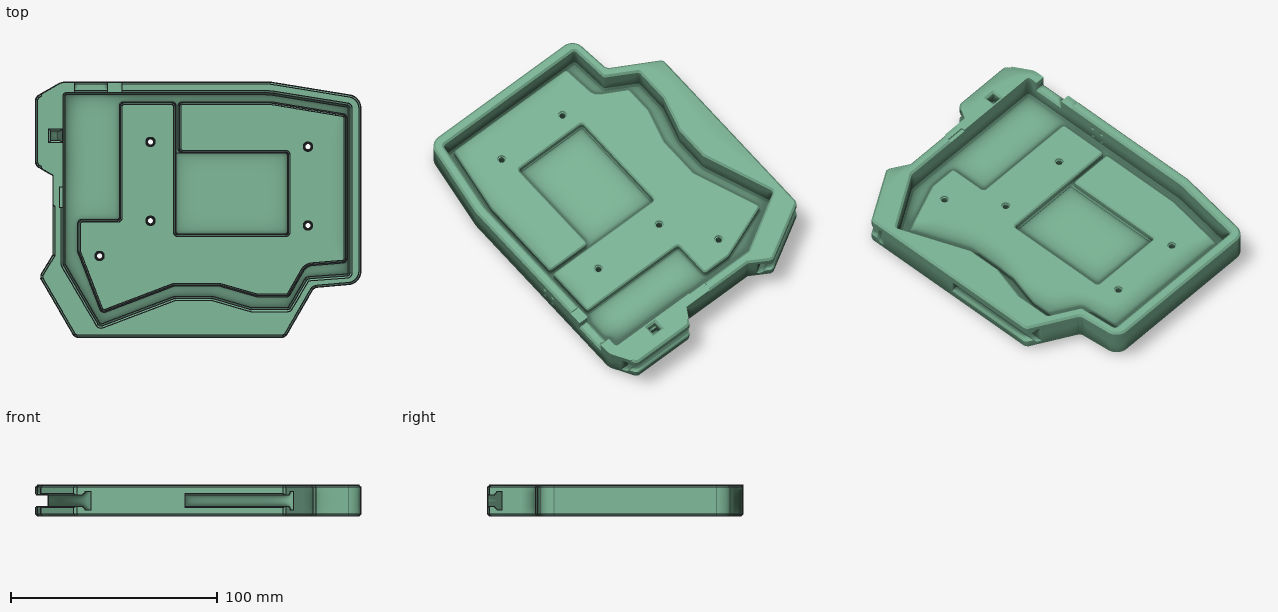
import cadquery as cq
import math

LENGTH = 157.19
DEPTH = 123.32
HEIGHT = 15.0

SLANT = math.tan(math.radians(60))
FRONT_LEFT_X = 18.9
FRONT_RIGHT_X = 120.6
LEFT_CORNER_Y = 29.3
LEFT_CORNER = (FRONT_LEFT_X - LEFT_CORNER_Y / SLANT, LEFT_CORNER_Y)
WAIST_Y = 24.0
WAIST = (FRONT_RIGHT_X + WAIST_Y / SLANT, WAIST_Y)
RIGHT_FRONT_Y = 26.0
RIGHT_BACK_Y = 116.2
BACK_RIGHT_X = 113.5
BACK_LEFT_X = 12.6
GRIP_BACK_Y = DEPTH - BACK_LEFT_X / SLANT
GRIP_FRONT_Y = 83.0
RECESS_X = 8.4
RECESS_BACK_Y = GRIP_FRONT_Y - RECESS_X / SLANT
RECESS_FRONT_Y = 39.8
OUTLINE = [
    (FRONT_LEFT_X, 0),
    (FRONT_RIGHT_X, 0),
    WAIST,
    (LENGTH, RIGHT_FRONT_Y),
    (LENGTH, RIGHT_BACK_Y),
    (BACK_RIGHT_X, DEPTH),
    (BACK_LEFT_X, DEPTH),
    (0, GRIP_BACK_Y),
    (0, GRIP_FRONT_Y),
    (RECESS_X, RECESS_BACK_Y),
    (RECESS_X, RECESS_FRONT_Y),
    LEFT_CORNER,
]
RIGHT_CORNER_RADIUS = 6.5
CORNER_BEVEL = 1.0
RIM_CHAMFER = 1.0

FLOOR_Z = 2.3
CAVITY_CHAMFER = 1.0
CAVITY_CORNER_RADIUS = 1.5
CAVITY_BEND_RADIUS = 28.0
CAVITY_LEFT = 13.3
CAVITY_RIGHT = 151.9
CAVITY_BACK = 118.2
CAVITY_OUTLINE = [
    (CAVITY_LEFT, CAVITY_BACK),
    (113.2, CAVITY_BACK),
    (CAVITY_RIGHT, 112.0),
    (CAVITY_RIGHT, 29.7),
    (131.3, 28.2),
    (122.6, 13.3),
    (104.2, 13.3),
    (85.2, 18.8),
    (67.4, 18.8),
    (30.9, 5.0),
    (CAVITY_LEFT, 35.0),
]
CAVITY_BEND = CAVITY_OUTLINE[1]

PLATE_Z = 6.3
PLATE_EDGE = 0.7
PLATE_FOOT = 0.6
PLATE_LEFT = 41.1
PLATE_RIGHT = 149.8
PLATE_BACK = 113.2
PLATE_OUTLINE = [
    (PLATE_LEFT, PLATE_BACK),
    (113.7, PLATE_BACK),
    (PLATE_RIGHT, 107.2),
    (PLATE_RIGHT, 36.6),
    (130.5, 35.0),
    (122.0, 20.1),
    (107.2, 20.1),
    (89.0, 25.3),
    (66.7, 25.3),
    (32.2, 12.2),
    (20.9, 41.5),
    (20.9, 56.3),
    (PLATE_LEFT, 56.3),
]
PLATE_CORNER_RADIUS = 1.5
PLATE_BEND_RADIUS = 6.0
PLATE_BEND = PLATE_OUTLINE[4]

WINDOW_LEFT = 67.3
WINDOW_RIGHT = 122.3
WINDOW_FRONT = 49.4
WINDOW_BACK = 89.6
CHANNEL_WIDTH = 2.2
WINDOW_SINK = 0.5

HOLE_DIAMETER = 3.0
BORE_DIAMETER = 4.0
MOUTH_DIAMETER = 4.5
BORE_DEPTH = 1.0
HOLES = [(55.5, 94.4), (55.5, 56.3), (131.6, 92.1), (131.6, 54.0), (30.9, 39.3)]

SLOT_NECK = 5.7
SLOT_WIDE = 9.0
SLOT_NECK_DEPTH = 3.2
SLOT_FLARE_DEPTH = 4.7
SLOT_DEPTH = 6.9
SLOT_LIP_CHAMFER = 0.5
SLOT_OVERRUN = 20.0
FRONT_SLOT_START_X = 72.2

PLAIN_LEFT = 2.8
PLAIN_RIGHT = 18.7
PLAIN_FRONT = 62.8
PLAIN_CORNER_RADIUS = 2.0

NOTCH_RIGHT = 34.8
NOTCH_Z = 10.0
TAB_RIGHT = 41.7
TAB_Z = 14.0
LEDGE_LEFT = 11.5
LEDGE_BACK = 72.6
LEDGE_DEPTH = 1.0
LATCH_LEFT, LATCH_RIGHT = 7.3, 11.8
LATCH_FRONT, LATCH_BACK = 95.0, 99.7
LATCH_LEDGE = 1.0
LATCH_LEDGE_DEPTH = 4.0
LATCH_DEPTH = 7.0
PORT_DIAMETER = 2.2
PORT_X = (55.5, 61.3)
PORT_Z = (5.0, 10.4)

MATCH_TOLERANCE = 0.01


def prism(points, bottom, top):
    return cq.Workplane("XY").workplane(offset=bottom).polyline(points).close().extrude(top - bottom)


def box(x_range, y_range, z_range):
    size = [high - low for low, high in (x_range, y_range, z_range)]
    return cq.Workplane("XY").box(*size, centered=False).translate((x_range[0], y_range[0], z_range[0]))


def vertical_edges(body, points):
    """Vertical edges of a prism that stand on the given outline points."""
    edges = body.edges("|Z").vals()
    chosen = [
        edge
        for edge in edges
        if any(math.dist(edge.Center().toTuple()[:2], point) < MATCH_TOLERANCE for point in points)
    ]
    return body.newObject(chosen)


def make_blank():
    blank = prism(OUTLINE, 0, HEIGHT)
    blank = vertical_edges(blank, [OUTLINE[3], OUTLINE[4]]).fillet(RIGHT_CORNER_RADIUS)
    bevelled = [OUTLINE[0], OUTLINE[1], OUTLINE[2], OUTLINE[6], OUTLINE[7], OUTLINE[8], OUTLINE[11]]
    return vertical_edges(blank, bevelled).chamfer(CORNER_BEVEL)


def make_cavity():
    cavity = prism(CAVITY_OUTLINE, FLOOR_Z, HEIGHT)
    cavity = vertical_edges(cavity, [CAVITY_BEND]).fillet(CAVITY_BEND_RADIUS)
    corners = [point for point in CAVITY_OUTLINE if point != CAVITY_BEND]
    cavity = vertical_edges(cavity, corners).fillet(CAVITY_CORNER_RADIUS)
    return cavity.faces("<Z").edges().chamfer(CAVITY_CHAMFER)


def make_shell():
    """Tray with chamfered rims, left plain along part of the left rim."""
    blank = make_blank()
    cavity = make_cavity()
    bottom_chamfered = blank.faces("<Z").edges().chamfer(RIM_CHAMFER)
    plain = bottom_chamfered.cut(cavity)
    chamfered = bottom_chamfered.faces(">Z").edges().chamfer(RIM_CHAMFER).cut(cavity)
    chamfered = chamfered.faces(">Z").wires(cq.selectors.AreaNthSelector(0)).chamfer(RIM_CHAMFER)
    stretch = box((RECESS_X, PLAIN_RIGHT), (PLAIN_FRONT, DEPTH), (0, HEIGHT))
    stretch = stretch.edges("|Z and <X and <Y").fillet(PLAIN_CORNER_RADIUS)
    grip = box((PLAIN_LEFT, PLAIN_RIGHT), (RECESS_BACK_Y, DEPTH), (0, HEIGHT))
    return chamfered.union(plain.intersect(stretch.union(grip)))


def make_plate():
    plate = prism(PLATE_OUTLINE, FLOOR_Z, PLATE_Z)
    plate = vertical_edges(plate, [PLATE_BEND]).fillet(PLATE_BEND_RADIUS)
    window = box((WINDOW_LEFT, WINDOW_RIGHT), (WINDOW_FRONT, WINDOW_BACK), (FLOOR_Z, PLATE_Z))
    channel = box(
        (WINDOW_LEFT, WINDOW_LEFT + CHANNEL_WIDTH), (WINDOW_FRONT, DEPTH), (FLOOR_Z, PLATE_Z)
    )
    plate = plate.cut(window).cut(channel)
    corners = [point for point in PLATE_OUTLINE if point != PLATE_BEND]
    corners += [(x, y) for x in (WINDOW_LEFT, WINDOW_RIGHT) for y in (WINDOW_FRONT, WINDOW_BACK)]
    for x in (WINDOW_LEFT, WINDOW_LEFT + CHANNEL_WIDTH):
        corners += [(x, WINDOW_BACK), (x, PLATE_BACK)]
    plate = vertical_edges(plate, corners).fillet(PLATE_CORNER_RADIUS)
    return plate.faces(">Z").edges().chamfer(PLATE_EDGE)


def join_plate(shell):
    """Shell with the plate on its floor and a sloped foot all round the plate."""
    tray = shell.union(make_plate())
    on_floor = cq.selectors.BoxSelector(
        (0, 0, FLOOR_Z - PLATE_FOOT / 2), (LENGTH, DEPTH, FLOOR_Z + PLATE_FOOT / 2)
    )
    floor = tray.faces(on_floor).val()
    foot_edges = [edge for wire in floor.innerWires() for edge in wire.Edges()]
    return tray.newObject(foot_edges).chamfer(PLATE_FOOT)


def window_sink():
    return box(
        (WINDOW_LEFT + PLATE_FOOT, WINDOW_RIGHT - PLATE_FOOT),
        (WINDOW_FRONT + PLATE_FOOT, WINDOW_BACK - PLATE_FOOT),
        (FLOOR_Z - WINDOW_SINK, FLOOR_Z),
    )


def screw_holes():
    through = cq.Workplane("XY").pushPoints(HOLES).circle(HOLE_DIAMETER / 2).extrude(PLATE_Z)
    bore_plane = cq.Workplane("XY").workplane(offset=PLATE_Z - BORE_DEPTH)
    bores = bore_plane.pushPoints(HOLES).circle(BORE_DIAMETER / 2).extrude(BORE_DEPTH)
    lead = (MOUTH_DIAMETER - BORE_DIAMETER) / 2
    mouth = cq.Solid.makeCone(BORE_DIAMETER / 2, MOUTH_DIAMETER / 2, lead)
    for x, y in HOLES:
        through = through.union(cq.Workplane(mouth.translate(cq.Vector(x, y, PLATE_Z - lead))))
    return through.union(bores)


def undercut_slot(start, direction, length):
    """Flared slot cut to the left of a run from start along direction, at mid height."""
    angle = math.radians(direction)
    plane = cq.Plane(
        origin=(start[0], start[1], HEIGHT / 2),
        xDir=(-math.sin(angle), math.cos(angle), 0),
        normal=(math.cos(angle), math.sin(angle), 0),
    )
    neck = SLOT_NECK / 2
    wide = SLOT_WIDE / 2
    half = [
        (0, neck + SLOT_LIP_CHAMFER),
        (SLOT_LIP_CHAMFER, neck),
        (SLOT_NECK_DEPTH, neck),
        (SLOT_FLARE_DEPTH, wide),
        (SLOT_DEPTH, wide),
    ]
    mirrored = [(depth, -height) for depth, height in reversed(half)]
    return cq.Workplane(plane).polyline(half + mirrored).close().extrude(length)


def edge_slots():
    front_length = FRONT_RIGHT_X + SLOT_OVERRUN - FRONT_SLOT_START_X
    front = undercut_slot((FRONT_SLOT_START_X, 0), 0, front_length)
    corner_start = (LEFT_CORNER[0] - SLOT_OVERRUN / 2, LEFT_CORNER[1] + SLOT_OVERRUN / 2 * SLANT)
    corner_run = math.dist(LEFT_CORNER, OUTLINE[0]) + 2 * SLOT_OVERRUN
    corner = undercut_slot(corner_start, -60, corner_run)
    grip_length = GRIP_BACK_Y - GRIP_FRONT_Y + 2 * SLOT_OVERRUN
    grip = undercut_slot((0, GRIP_BACK_Y + SLOT_OVERRUN), -90, grip_length)
    return front.union(corner).union(grip)


def rim_cuts():
    """Chamfered notch and lowered tab in the back rim, and a shallow ledge in the left rim."""
    notch_profile = [
        (CAVITY_BACK, HEIGHT),
        (CAVITY_BACK, NOTCH_Z - RIM_CHAMFER),
        (CAVITY_BACK + RIM_CHAMFER, NOTCH_Z),
        (DEPTH - RIM_CHAMFER, NOTCH_Z),
        (DEPTH, NOTCH_Z - RIM_CHAMFER),
        (DEPTH, HEIGHT),
    ]
    side = cq.Workplane("YZ", origin=(PLAIN_RIGHT, 0, 0))
    notch = side.polyline(notch_profile).close().extrude(NOTCH_RIGHT - PLAIN_RIGHT)
    tab = box((NOTCH_RIGHT, TAB_RIGHT), (CAVITY_BACK, DEPTH), (TAB_Z, HEIGHT))
    ledge = box((LEDGE_LEFT, CAVITY_LEFT), (PLAIN_FRONT, LEDGE_BACK), (HEIGHT - LEDGE_DEPTH, HEIGHT))
    return notch.union(tab).union(ledge)


def latch_pocket():
    width = (LATCH_FRONT, LATCH_BACK)
    upper = box((LATCH_LEFT, LATCH_RIGHT), width, (HEIGHT - LATCH_LEDGE_DEPTH, HEIGHT))
    lower = box((LATCH_LEFT, LATCH_RIGHT - LATCH_LEDGE), width, (HEIGHT - LATCH_DEPTH, HEIGHT))
    mouth = cq.Workplane("XY").workplane(offset=HEIGHT)
    mouth = mouth.center((LATCH_LEFT + LATCH_RIGHT) / 2, (LATCH_FRONT + LATCH_BACK) / 2)
    mouth_length = LATCH_RIGHT - LATCH_LEFT + 2 * RIM_CHAMFER
    mouth_width = LATCH_BACK - LATCH_FRONT + 2 * RIM_CHAMFER
    mouth = mouth.rect(mouth_length, mouth_width).extrude(-RIM_CHAMFER, taper=45)
    return upper.union(lower).union(mouth)


def port_holes():
    points = [(x, z) for x in PORT_X for z in PORT_Z]
    back = cq.Workplane("XZ", origin=(0, DEPTH, 0))
    return back.pushPoints(points).circle(PORT_DIAMETER / 2).extrude(DEPTH - CAVITY_BACK)


result = (
    join_plate(make_shell())
    .cut(window_sink())
    .cut(screw_holes())
    .cut(edge_slots())
    .cut(rim_cuts())
    .cut(latch_pocket())
    .cut(port_holes())
)